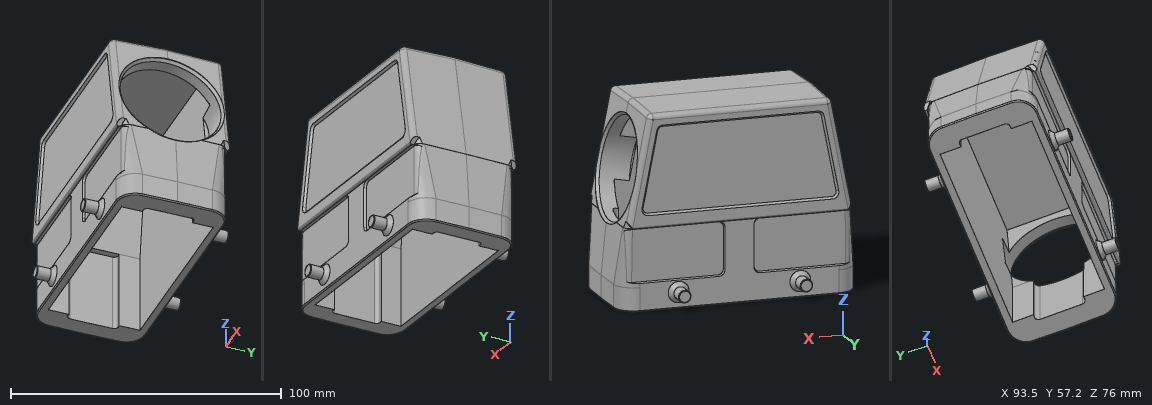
import cadquery as cq
import math

base_length = 93.5
base_width = 42.9
band_height = 9.3
band_corner_radius = 7.7
shoulder_corner_radius = 4.0
bottom_chamfer = 0.5

hood_length = 89.0
hood_width = 44.9
shoulder_height = 31.9
overall_height = 76.0
end_slope = 0.196
roof_crown = 0.7
end_crown = 0.3
hood_fillet = 2.1
hood_rim_fillet = 0.7
corner_trim = 2.7
corner_trim_rise = 3.6

window_bottom = 36.8
window_top = 71.1
window_half_bottom = 39.0
window_depth = 0.9
window_draft = 0.75
window_corner_radius = 2.5

panel_bottom = 10.8
panel_inner_x = 5.6
panel_depth = 0.9
panel_draft = 0.4
panel_corner_radius = 2.5
panel_edge_fillet = 2.8

pin_spacing = 47.5
pin_height = 6.3
pin_diameter = 4.9
pin_span = 57.2
pin_root_diameter = 8.1
pin_root_length = 1.7
pin_root_embed = 1.4
pin_tip_chamfer = 0.3

entry_center_z = 49.7
entry_diameter = 40.0
entry_mouth_diameter = 41.9
entry_chamfer = 1.1
entry_depth = 13.1
entry_clearance = 4.7

cavity_length = 72.9
cavity_width = 36.5
cavity_roof_length = 61.7
cavity_height = 72.5
notch_length = 78.2
notch_width = 19.9
notch_corner_radius = 1.5

hood_rise = overall_height - shoulder_height
roof_length = hood_length - 2 * end_slope * hood_rise
end_angle = math.degrees(math.atan(end_slope))


def crowned_plan(length, width):
    """Rectangle whose two short ends rise to a shallow ridge at Y = 0."""
    ridge = length / 2
    corner = ridge - end_crown
    half = width / 2
    return [(-ridge, 0), (-corner, half), (corner, half), (ridge, 0), (corner, -half), (-corner, -half)]


def rounded_plan(length, width, radius):
    plan = cq.Sketch().polygon(crowned_plan(length, width) + [(-length / 2, 0)])
    return plan.vertices(">Y or <Y").fillet(radius)


def make_lower_body():
    band_plan = rounded_plan(base_length, base_width, band_corner_radius)
    shoulder_plan = rounded_plan(hood_length, base_width, shoulder_corner_radius)
    band = cq.Workplane().placeSketch(band_plan).extrude(band_height)
    band = band.faces("<Z").chamfer(bottom_chamfer)
    taper = (
        cq.Workplane()
        .placeSketch(
            band_plan.moved(cq.Location(cq.Vector(0, 0, band_height))),
            shoulder_plan.moved(cq.Location(cq.Vector(0, 0, shoulder_height))),
        )
        .loft(ruled=True)
    )
    return band.union(taper)


def is_rounded_hood_edge(edge):
    """True for edges around the long faces and across the roof ends, but not the lower rim or ridges."""
    center = edge.Center()
    above_rim = center.z > shoulder_height + hood_rim_fillet
    on_long_face = math.isclose(abs(center.y), hood_width / 2, rel_tol=1e-4)
    on_roof_end = center.z > overall_height - roof_crown and abs(center.x) > roof_length / 4
    return above_rim and (on_long_face or on_roof_end)


def make_hood():
    blank = (
        cq.Workplane()
        .workplane(offset=shoulder_height)
        .polyline(crowned_plan(hood_length, hood_width))
        .close()
        .workplane(offset=hood_rise)
        .polyline(crowned_plan(roof_length, hood_width))
        .close()
        .loft(ruled=True)
    )
    half = hood_width / 2
    eave = overall_height - roof_crown
    gable = (
        cq.Workplane("YZ")
        .moveTo(-half, shoulder_height)
        .lineTo(half, shoulder_height)
        .lineTo(half, eave)
        .lineTo(0, overall_height)
        .lineTo(-half, eave)
        .close()
        .extrude(hood_length / 2, both=True)
    )
    hood = blank.intersect(gable)
    rounded_edges = [edge for edge in hood.edges().vals() if is_rounded_hood_edge(edge)]
    hood = hood.newObject(rounded_edges).fillet(hood_fillet)
    rim_envelope = (
        cq.Workplane()
        .box(hood_length, hood_width, hood_rise, centered=(True, True, False))
        .faces("<Z")
        .edges("|X")
        .fillet(hood_rim_fillet)
        .translate((0, 0, shoulder_height))
    )
    return hood.intersect(rim_envelope)


def drafted_pocket(outline, radius, face_y, depth, draft):
    """Pocket cutter on the -Y side, narrowing by the draft over its depth."""
    draft_angle = math.degrees(math.atan(draft / depth))
    return (
        cq.Workplane("XZ", origin=(0, -face_y, 0))
        .placeSketch(cq.Sketch().polygon(outline + outline[:1]).vertices().fillet(radius))
        .extrude(-depth, taper=draft_angle)
    )


def both_sides(shape):
    """The shape together with its mirror image on the opposite long side."""
    return shape.union(shape.mirror("XZ"))


def make_windows():
    window_half_top = window_half_bottom - end_slope * (window_top - window_bottom)
    outline = [
        (-window_half_bottom, window_bottom),
        (window_half_bottom, window_bottom),
        (window_half_top, window_top),
        (-window_half_top, window_top),
    ]
    return both_sides(
        drafted_pocket(outline, window_corner_radius, hood_width / 2, window_depth, window_draft)
    )


def make_panels():
    outer_x = base_length / 2 + panel_corner_radius
    outline = [
        (panel_inner_x, panel_bottom),
        (outer_x, panel_bottom),
        (outer_x, shoulder_height),
        (panel_inner_x, shoulder_height),
    ]
    panel = drafted_pocket(outline, panel_corner_radius, base_width / 2, panel_depth, panel_draft)
    return both_sides(panel.union(panel.mirror("YZ")))


def make_pin(x):
    """Pin along -Y with a cone where it leaves the base band."""
    face = base_width / 2
    tip = pin_span / 2
    core = face - pin_root_embed
    profile = [
        (0, core),
        (pin_root_diameter / 2, core),
        (pin_root_diameter / 2, face),
        (pin_diameter / 2, face + pin_root_length),
        (pin_diameter / 2, tip - pin_tip_chamfer),
        (pin_diameter / 2 - pin_tip_chamfer, tip),
        (0, tip),
    ]
    pin = cq.Workplane("XY").polyline(profile).close().revolve(360, (0, 0, 0), (0, 1, 0))
    return pin.mirror("XZ").translate((x, 0, pin_height))


def make_cable_entry():
    ridge_x = hood_length / 2 - end_slope * (entry_center_z - shoulder_height)
    entry_x = ridge_x - end_crown
    axis = cq.Vector(math.cos(math.radians(end_angle)), 0, math.sin(math.radians(end_angle)))
    face_plane = cq.Plane(origin=(entry_x, 0, entry_center_z), xDir=(0, 1, 0), normal=axis.toTuple())
    bore_radius = entry_diameter / 2
    mouth_radius = entry_mouth_diameter / 2
    profile = [
        (0, -entry_depth),
        (bore_radius, -entry_depth),
        (bore_radius, -entry_chamfer),
        (mouth_radius, 0),
        (mouth_radius, entry_clearance),
        (0, entry_clearance),
    ]
    cutter = cq.Workplane("XZ").polyline(profile).close().revolve(360, (0, 0, 0), (0, 1, 0))
    return cq.Workplane(cutter.val().moved(face_plane.location))


def make_cavity():
    half = cavity_length / 2
    half_roof = cavity_roof_length / 2
    main = (
        cq.Workplane("XZ")
        .polyline(
            [
                (-half, 0),
                (half, 0),
                (half, shoulder_height),
                (half_roof, cavity_height),
                (-half_roof, cavity_height),
                (-half, shoulder_height),
            ]
        )
        .close()
        .extrude(cavity_width / 2, both=True)
    )
    notches = (
        cq.Workplane()
        .rect(notch_length, notch_width)
        .extrude(shoulder_height)
        .edges("|Z")
        .fillet(notch_corner_radius)
    )
    return main.union(notches)


def is_panel_end_edge(edge):
    """True for the upright edges where a panel floor runs out through a corner of the body."""
    floor_y = base_width / 2 - panel_depth
    start = edge.startPoint()
    end = edge.endPoint()
    on_floor = math.isclose(abs(start.y), floor_y) or math.isclose(abs(end.y), floor_y)
    upright = abs(start.z - end.z) > (shoulder_height - panel_bottom) / 2
    near_corner = abs(edge.Center().x) > base_length / 3
    return on_floor and upright and near_corner


def soften_panel_ends(body):
    edges = [edge for edge in body.edges().vals() if is_panel_end_edge(edge)]
    return body.newObject(edges).fillet(panel_edge_fillet)


def make_corner_trims():
    """Wedges that let the overhanging rim run out around the hood corners."""
    start_x = hood_length / 2 - corner_trim
    end_x = hood_length / 2
    wedge = (
        cq.Workplane("XZ")
        .polyline(
            [
                (start_x, shoulder_height),
                (end_x, shoulder_height),
                (end_x, shoulder_height + corner_trim_rise),
            ]
        )
        .close()
        .extrude(hood_width / 2, both=True)
    )
    core_plan = rounded_plan(hood_length, base_width - 2 * panel_depth, panel_edge_fillet)
    core = cq.Workplane().placeSketch(core_plan).extrude(overall_height)
    trim = wedge.cut(core)
    return trim.union(trim.mirror("YZ"))


lower_body = soften_panel_ends(make_lower_body().cut(make_panels()))
hood = make_hood().cut(make_windows()).cut(make_corner_trims())
result = lower_body.union(hood)
for pin_x in (-pin_spacing / 2, pin_spacing / 2):
    result = result.union(both_sides(make_pin(pin_x)))
result = result.cut(make_cavity()).cut(make_cable_entry())